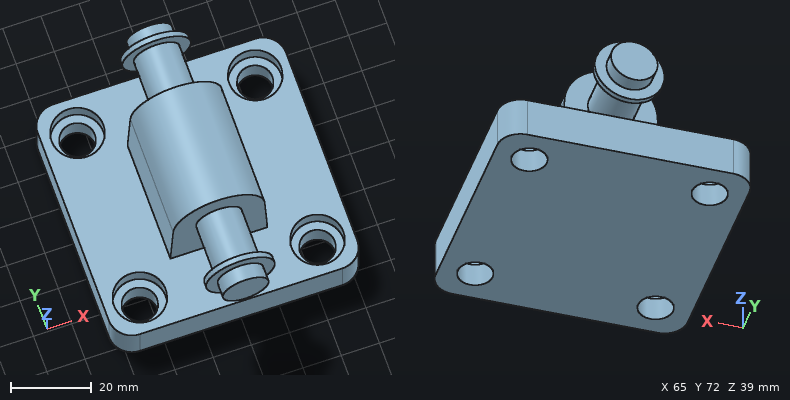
import cadquery as cq
import math

PLATE_SIDE = 65.0
PLATE_THICKNESS = 11.0
CORNER_RADIUS = 6.0

HOLE_SPACING = 46.5
HOLE_DIAMETER = 9.0
COUNTERBORE_DIAMETER = 13.5
COUNTERBORE_DEPTH = 4.5

OVERALL_HEIGHT = 39.0
KNUCKLE_RADIUS = 12.0
KNUCKLE_LENGTH = 32.0
KNUCKLE_FOOT_WIDTH = 25.4
AXIS_HEIGHT = OVERALL_HEIGHT - KNUCKLE_RADIUS

PIN_DIAMETER = 12.0
PIN_LENGTH = 72.0
RING_DIAMETER = 18.0
RING_THICKNESS = 1.5
RING_END_MARGIN = 4.0


def make_plate():
    """Square plate with rounded corners and a counterbored hole near each corner."""
    plate = (
        cq.Workplane("XY")
        .rect(PLATE_SIDE, PLATE_SIDE)
        .extrude(PLATE_THICKNESS)
        .edges("|Z")
        .fillet(CORNER_RADIUS)
    )
    return (
        plate.faces(">Z")
        .workplane()
        .rect(HOLE_SPACING, HOLE_SPACING, forConstruction=True)
        .vertices()
        .cboreHole(HOLE_DIAMETER, COUNTERBORE_DIAMETER, COUNTERBORE_DEPTH)
    )


def make_knuckle():
    """Block along Y whose flat flanks run tangent into a round top about the pin axis."""
    half_foot = KNUCKLE_FOOT_WIDTH / 2
    foot_drop = AXIS_HEIGHT - PLATE_THICKNESS
    foot_distance = math.hypot(half_foot, foot_drop)
    tangent_angle = math.acos(KNUCKLE_RADIUS / foot_distance) - math.atan2(foot_drop, half_foot)
    tangent_x = KNUCKLE_RADIUS * math.cos(tangent_angle)
    tangent_z = AXIS_HEIGHT + KNUCKLE_RADIUS * math.sin(tangent_angle)
    return (
        cq.Workplane("XZ", origin=(0, KNUCKLE_LENGTH / 2, 0))
        .moveTo(-half_foot, PLATE_THICKNESS)
        .lineTo(half_foot, PLATE_THICKNESS)
        .lineTo(tangent_x, tangent_z)
        .threePointArc((0, OVERALL_HEIGHT), (-tangent_x, tangent_z))
        .close()
        .extrude(KNUCKLE_LENGTH)
    )


def make_axial_cylinder(diameter, length, center_y):
    """Cylinder on the pin axis, centred at the given Y."""
    return (
        cq.Workplane("XZ", origin=(0, center_y + length / 2, AXIS_HEIGHT))
        .circle(diameter / 2)
        .extrude(length)
    )


result = make_plate().union(make_knuckle())
result = result.union(make_axial_cylinder(PIN_DIAMETER, PIN_LENGTH, 0))

ring_offset = PIN_LENGTH / 2 - RING_END_MARGIN - RING_THICKNESS / 2
for side in (-1, 1):
    result = result.union(make_axial_cylinder(RING_DIAMETER, RING_THICKNESS, side * ring_offset))